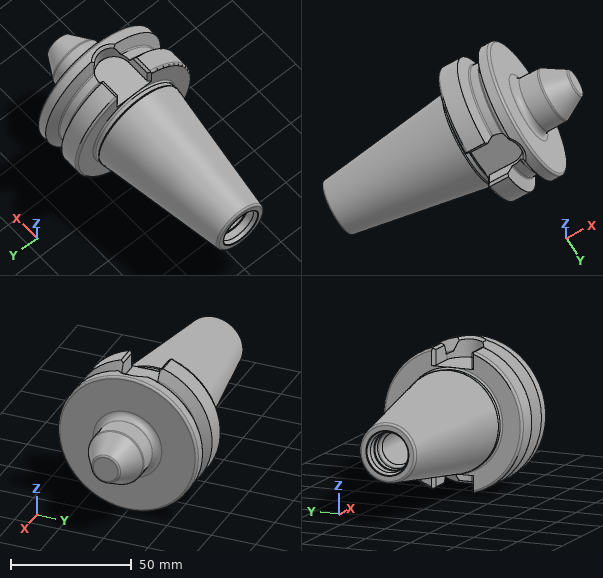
import cadquery as cq
import math

TOTAL_LENGTH = 115.4

GAUGE_X = 65.4
GAUGE_RADIUS = 22.3
TAPER_SLOPE = 7 / 48
TAPER_END_X = 64.2
SHANK_EDGE_ROUND = 1.0
NECK_START_X = 64.7
NECK_RADIUS = 21.8
NECK_FILLET = 0.8

FLANGE_RADIUS = 31.5
FLANGE_START_X = 67.4
FLANGE_END_X = 92.4
FLANGE_EDGE_ROUND = 1.0

GROOVE_CENTRE_X = 82.0
GROOVE_FLOOR_WIDTH = 4.7
GROOVE_FLOOR_RADIUS = 26.3
GROOVE_MOUTH_WIDTH = 10.0
GROOVE_FILLET = 0.7

SLOT_WIDTH = 16.4
SLOT_FLOOR_Z = 22.5
SLOT_END_CENTRE_X = 80.2
SLOT_CHAMFER = 1.3

NOSE_RADIUS = 12.5
NOSE_ROOT_FILLET = 3.0
NOSE_CONE_START_X = 104.5
NOSE_CONE_ANGLE = 30
NOSE_CONE_BLEND = 1.4
NOSE_TIP_ROUND = 1.0

BORE_MOUTH_RADIUS = 9.7
MOUTH_EDGE_BREAK = 0.3
MOUTH_EDGE_DEPTH = 0.2
PILOT_RADIUS = 8.5
PILOT_START_X = 2.0
PILOT_END_X = 5.4
RELIEF_RADIUS = 8.2
RELIEF_START_X = 5.8
RELIEF_END_X = 8.4
COUNTERSINK_RADIUS = 7.8
COUNTERSINK_START_X = 8.9
CORE_RADIUS = 6.9
CORE_START_X = 10.5
CORE_END_X = 34.6
DRILL_POINT_HALF_ANGLE = 60

CUTTER_CLEARANCE = 1.2

PICK_REACH = 0.01


def slope_tan(degrees):
    return math.tan(math.radians(degrees))


def revolve_about_x(points):
    """Turn a closed outline of (x, radius) points about the X axis."""
    return cq.Workplane("XY").polyline(points).close().revolve(360, (0, 0, 0), (1, 0, 0))


def circles_at(body, x, radius):
    """Circular edges of the body that lie at the given x and radius."""
    circles = body.edges("%CIRCLE")
    return circles.filter(
        lambda edge: abs(edge.Center().x - x) < PICK_REACH and abs(edge.radius() - radius) < PICK_REACH
    )


def taper_radius(x):
    return GAUGE_RADIUS - (GAUGE_X - x) * TAPER_SLOPE


def turned_body():
    tip_radius = NOSE_RADIUS - (TOTAL_LENGTH - NOSE_CONE_START_X) * slope_tan(NOSE_CONE_ANGLE)
    body = revolve_about_x([
        (0, 0),
        (0, taper_radius(0)),
        (TAPER_END_X, taper_radius(TAPER_END_X)),
        (NECK_START_X, NECK_RADIUS),
        (FLANGE_START_X, NECK_RADIUS),
        (FLANGE_START_X, FLANGE_RADIUS),
        (FLANGE_END_X, FLANGE_RADIUS),
        (FLANGE_END_X, NOSE_RADIUS),
        (NOSE_CONE_START_X, NOSE_RADIUS),
        (TOTAL_LENGTH, tip_radius),
        (TOTAL_LENGTH, 0),
    ])
    rounds = [
        (0, taper_radius(0), SHANK_EDGE_ROUND),
        (FLANGE_START_X, NECK_RADIUS, NECK_FILLET),
        (FLANGE_START_X, FLANGE_RADIUS, FLANGE_EDGE_ROUND),
        (FLANGE_END_X, FLANGE_RADIUS, FLANGE_EDGE_ROUND),
        (FLANGE_END_X, NOSE_RADIUS, NOSE_ROOT_FILLET),
        (NOSE_CONE_START_X, NOSE_RADIUS, NOSE_CONE_BLEND),
        (TOTAL_LENGTH, tip_radius, NOSE_TIP_ROUND),
    ]
    for x, radius, size in rounds:
        body = circles_at(body, x, radius).fillet(size)
    return body


def drive_slot(side):
    """Round-ended slot cutter open toward -X; side is +1 for +Z and -1 for -Z."""
    length = SLOT_END_CENTRE_X - FLANGE_START_X
    depth = FLANGE_RADIUS - SLOT_FLOOR_Z + CUTTER_CLEARANCE
    return (
        cq.Workplane("XY")
        .workplane(offset=side * SLOT_FLOOR_Z)
        .moveTo(FLANGE_START_X, -SLOT_WIDTH / 2)
        .line(length, 0)
        .threePointArc((SLOT_END_CENTRE_X + SLOT_WIDTH / 2, 0), (SLOT_END_CENTRE_X, SLOT_WIDTH / 2))
        .line(-length, 0)
        .close()
        .extrude(side * depth)
    )


def v_groove():
    floor_half = GROOVE_FLOOR_WIDTH / 2
    mouth_half = GROOVE_MOUTH_WIDTH / 2
    cutter_radius = FLANGE_RADIUS + CUTTER_CLEARANCE
    groove = revolve_about_x([
        (GROOVE_CENTRE_X - floor_half, GROOVE_FLOOR_RADIUS),
        (GROOVE_CENTRE_X - mouth_half, FLANGE_RADIUS),
        (GROOVE_CENTRE_X - mouth_half, cutter_radius),
        (GROOVE_CENTRE_X + mouth_half, cutter_radius),
        (GROOVE_CENTRE_X + mouth_half, FLANGE_RADIUS),
        (GROOVE_CENTRE_X + floor_half, GROOVE_FLOOR_RADIUS),
    ])
    for end in (-1, 1):
        x = GROOVE_CENTRE_X + end * floor_half
        groove = circles_at(groove, x, GROOVE_FLOOR_RADIUS).fillet(GROOVE_FILLET)
    return groove


def pull_stud_bore():
    drill_point = CORE_RADIUS / slope_tan(DRILL_POINT_HALF_ANGLE)
    return revolve_about_x([
        (0, 0),
        (0, BORE_MOUTH_RADIUS),
        (MOUTH_EDGE_DEPTH, BORE_MOUTH_RADIUS - MOUTH_EDGE_BREAK),
        (PILOT_START_X, PILOT_RADIUS),
        (PILOT_END_X, PILOT_RADIUS),
        (RELIEF_START_X, RELIEF_RADIUS),
        (RELIEF_END_X, RELIEF_RADIUS),
        (COUNTERSINK_START_X, COUNTERSINK_RADIUS),
        (CORE_START_X, CORE_RADIUS),
        (CORE_END_X, CORE_RADIUS),
        (CORE_END_X + drill_point, 0),
    ])


def is_slot_rim(edge):
    """Slot edges on the flange front face and on its outer surface, not on the slot floor."""
    centre = edge.Center()
    above_floor = abs(centre.z) > SLOT_FLOOR_Z + PICK_REACH
    inside_slot = abs(centre.y) < SLOT_WIDTH / 2 + PICK_REACH
    in_front_face = centre.x < FLANGE_START_X + PICK_REACH
    on_outer_surface = centre.x < FLANGE_END_X - PICK_REACH and edge.geomType() != "LINE"
    wall_top = edge.BoundingBox().zlen < PICK_REACH
    return above_floor and inside_slot and (in_front_face or on_outer_surface or wall_top)


def slot_cutter():
    """Both drive slots with their chamfered rims, taken from a plain flange disc."""
    disc = cq.Workplane("YZ").workplane(offset=FLANGE_START_X).circle(FLANGE_RADIUS)
    disc = disc.extrude(FLANGE_END_X - FLANGE_START_X)
    slotted = disc
    for side in (1, -1):
        slotted = slotted.cut(drive_slot(side))
    slotted = slotted.edges().filter(is_slot_rim).chamfer(SLOT_CHAMFER)
    return disc.cut(slotted)


result = turned_body().cut(slot_cutter()).cut(v_groove()).cut(pull_stud_bore())